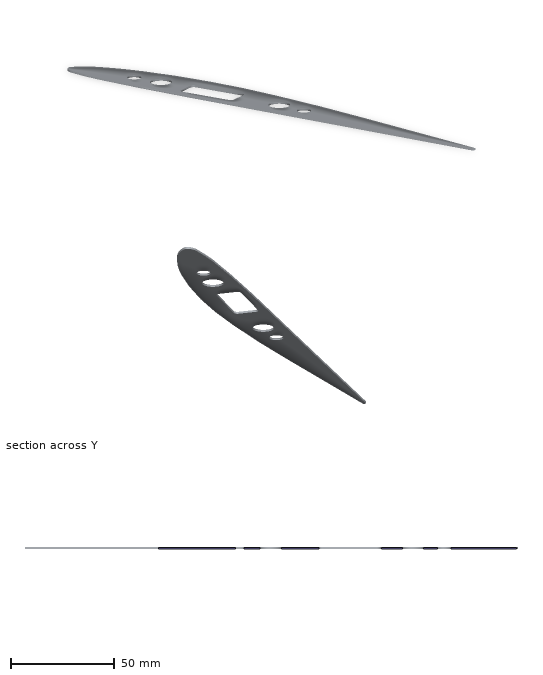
import cadquery as cq

chord = 239.0
thickness = 1.0

tail_top = (chord, 1.5)
tail_bottom = (chord - 0.7, 0.0)

nose = (0.0, 13.0)
crest = (68.1, 29.2)
upper_curve = [
    (2.0, 16.0), (7.0, 19.5), (14.0, 22.5), (28.7, 26.0), (43.0, 28.0),
    crest,
    (93.2, 28.0), (115.0, 25.3), (136.5, 22.0), (165.5, 16.5),
]
lower_curve = [
    (165.5, 1.7), (115.0, 2.6), (79.0, 3.5), (50.2, 4.5),
    (28.7, 6.0), (14.0, 7.5), (7.0, 8.8), (2.2, 10.3),
]

small_hole_diameter = 7.0
large_hole_diameter = 10.5
small_hole_centers = [(35.9, 16.0), (135.0, 11.7)]
large_hole_centers = [(51.0, 16.3), (120.0, 13.5)]

window_center = (81.5, 13.9)
window_length = 30.1
window_height = 12.5
window_corner_radius = 2.0


def make_rib():
    """Flat airfoil plate; the rear stretches of both faces are straight."""
    return (
        cq.Workplane("XY")
        .moveTo(*tail_bottom)
        .lineTo(*lower_curve[0])
        .spline(lower_curve[1:] + [nose] + upper_curve, includeCurrent=True)
        .lineTo(*tail_top)
        .close()
        .extrude(thickness)
    )


def make_hole_cutters(centers, diameter):
    return cq.Workplane("XY").pushPoints(centers).circle(diameter / 2).extrude(thickness)


def make_window_cutter():
    return (
        cq.Workplane("XY")
        .center(*window_center)
        .rect(window_length, window_height)
        .extrude(thickness)
        .edges("|Z")
        .fillet(window_corner_radius)
    )


result = (
    make_rib()
    .cut(make_hole_cutters(small_hole_centers, small_hole_diameter))
    .cut(make_hole_cutters(large_hole_centers, large_hole_diameter))
    .cut(make_window_cutter())
)